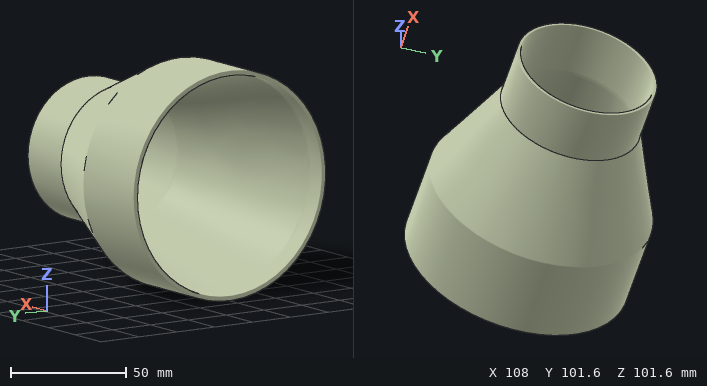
import cadquery as cq

total_length = 108.0
large_end_length = 38.1
small_end_length = 25.4

large_outer_diameter = 101.6
large_bore_diameter = 97.4
small_outer_diameter = 63.5
small_bore_diameter = 60.2

large_bore_depth = 9.5
shoulder_round = 1.1
bore_blend_radius = 6.5
rim_round = 0.16

cone_end = total_length - small_end_length


def tapered_body(large_diameter, small_diameter, cone_start):
    """Solid of revolution about X: large cylinder, cone, small cylinder."""
    large_radius = large_diameter / 2
    small_radius = small_diameter / 2
    return (
        cq.Workplane("XY")
        .lineTo(0, large_radius)
        .lineTo(cone_start, large_radius)
        .lineTo(cone_end, small_radius)
        .lineTo(total_length, small_radius)
        .lineTo(total_length, 0)
        .close()
        .revolve(360, (0, 0, 0), (1, 0, 0))
    )


def circle_at(x, diameter):
    """Selector for the circular edge of a given diameter around the axis at X = x."""
    margin = 0.1
    reach = diameter / 2 + margin
    return cq.selectors.BoxSelector(
        (x - margin, -reach, -reach), (x + margin, reach, reach), boundingbox=True
    )


outer_body = tapered_body(large_outer_diameter, small_outer_diameter, large_end_length)
outer_body = outer_body.edges(circle_at(large_end_length, large_outer_diameter)).fillet(shoulder_round)

bore = tapered_body(large_bore_diameter, small_bore_diameter, large_bore_depth)
bore = bore.edges(circle_at(large_bore_depth, large_bore_diameter)).fillet(bore_blend_radius)
bore = bore.edges(circle_at(cone_end, small_bore_diameter)).fillet(bore_blend_radius)

reducer = outer_body.cut(bore)

result = reducer.faces("<X or >X").edges().fillet(rim_round)